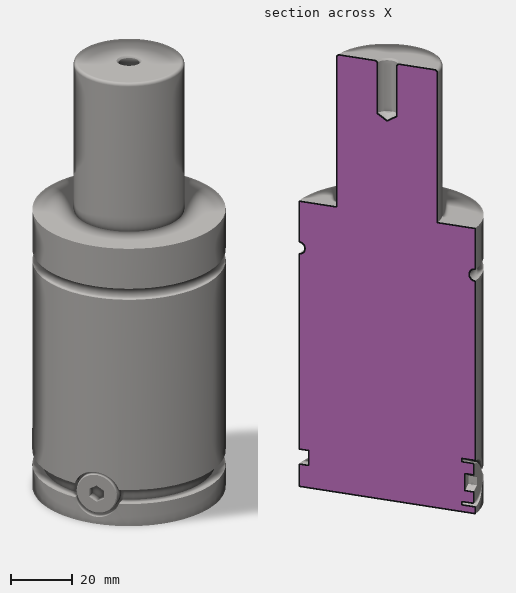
import cadquery as cq
import math

body_radius = 63.0 / 2
body_top = 99.1

overall_height = 152.0
rod_radius = 36.0 / 2
rod_edge_radius = 1.0

upper_groove_height = 82.8
upper_groove_radius = 2.0
upper_groove_wall = 0.2

lower_groove_top = 12.9
lower_groove_bottom = 7.9
lower_groove_radius = 28.0

hole_diameter = 6.8
hole_mouth_diameter = 8.0
hole_depth = 18.2
drill_half_angle = math.radians(59)

plug_height = 10.5
plug_pocket_diameter = 16.0
plug_pocket_floor = 26.6
plug_face = 30.9
plug_diameter = 14.0
plug_face_diameter = 13.4
socket_across_flats = 5.0
socket_depth = 3.0


def make_body():
    """Revolve the half profile of the cylinder and the piston rod."""
    wall_end = body_radius - upper_groove_wall
    return (
        cq.Workplane("XZ")
        .moveTo(0, 0)
        .lineTo(body_radius, 0)
        .lineTo(body_radius, lower_groove_bottom)
        .lineTo(lower_groove_radius, lower_groove_bottom)
        .lineTo(lower_groove_radius, lower_groove_top)
        .lineTo(body_radius, lower_groove_top)
        .lineTo(body_radius, upper_groove_height - upper_groove_radius)
        .lineTo(wall_end, upper_groove_height - upper_groove_radius)
        .threePointArc(
            (wall_end - upper_groove_radius, upper_groove_height),
            (wall_end, upper_groove_height + upper_groove_radius),
        )
        .lineTo(body_radius, upper_groove_height + upper_groove_radius)
        .lineTo(body_radius, body_top)
        .lineTo(rod_radius, body_top)
        .lineTo(rod_radius, overall_height - rod_edge_radius)
        .radiusArc((rod_radius - rod_edge_radius, overall_height), -rod_edge_radius)
        .lineTo(0, overall_height)
        .close()
        .revolve(360, (0, 0, 0), (0, 1, 0))
    )


def make_rod_hole():
    """Blind drilled hole with a chamfered mouth and a conical bottom."""
    hole_radius = hole_diameter / 2
    mouth_radius = hole_mouth_diameter / 2
    mouth_depth = mouth_radius - hole_radius
    hole_bottom = overall_height - hole_depth
    return (
        cq.Workplane("XZ")
        .moveTo(0, overall_height)
        .lineTo(mouth_radius, overall_height)
        .lineTo(hole_radius, overall_height - mouth_depth)
        .lineTo(hole_radius, hole_bottom)
        .lineTo(0, hole_bottom - hole_radius / math.tan(drill_half_angle))
        .close()
        .revolve(360, (0, 0, 0), (0, 1, 0))
    )


def plug_plane(distance):
    """Plane facing -Y, centred on the plug axis at this distance from the body axis."""
    return cq.Workplane("XZ", origin=(0, -distance, plug_height))


def add_plug(body):
    """Sink a round pocket into the body and stand the socket-head plug in it."""
    pocket = plug_plane(plug_pocket_floor).circle(plug_pocket_diameter / 2).extrude(body_radius)
    plug = (
        plug_plane(plug_pocket_floor)
        .circle(plug_diameter / 2)
        .extrude(plug_face - plug_pocket_floor)
        .faces("<Y")
        .chamfer((plug_diameter - plug_face_diameter) / 2)
    )
    socket_across_corners = socket_across_flats / math.cos(math.pi / 6)
    socket = (
        plug_plane(plug_face - socket_depth)
        .transformed(rotate=(0, 0, 90))
        .polygon(6, socket_across_corners)
        .extrude(socket_depth)
    )
    return body.cut(pocket).union(plug).cut(socket)


result = add_plug(make_body().cut(make_rod_hole()))